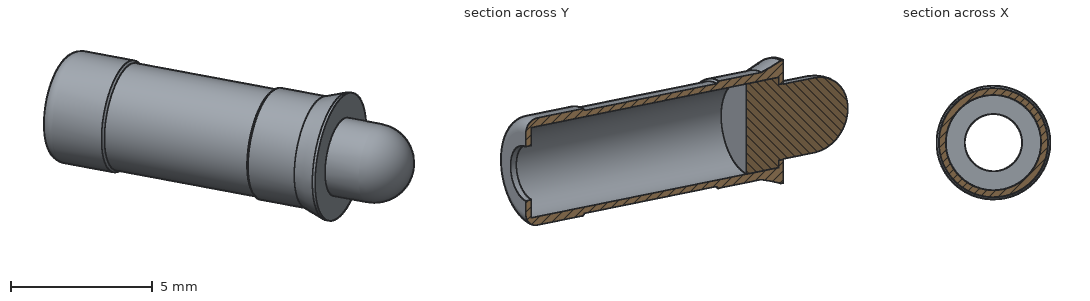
import cadquery as cq
import math

total_length = 13.4

plunger_radius = 1.41
dome_start = total_length - plunger_radius
head_radius = 1.68
head_length = 1.34

land_radius = 2.01
waist_radius = 1.93
step_length = land_radius - waist_radius
end_round = 0.5
rear_land_end = 2.39
front_land_start = 8.01
flare_start = 9.78
housing_length = 10.7
flare_diameter = 4.6
flare_radius = flare_diameter / 2
rim_width = 0.11

vent_radius = 1.0
end_wall = 0.24
mouth_wall = 0.2
bore_end = housing_length - mouth_wall
head_start = bore_end - head_length


def revolve_about_x(profile):
    return profile.close().revolve(360, (0, 0, 0), (1, 0, 0))


def make_housing():
    """Hollow turned sleeve with a vented rear wall and a flared front collar."""
    arc_offset = end_round * (1 - math.sqrt(0.5))
    profile = (
        cq.Workplane("XY")
        .moveTo(0, vent_radius)
        .lineTo(0, land_radius - end_round)
        .threePointArc((arc_offset, land_radius - arc_offset), (end_round, land_radius))
        .lineTo(rear_land_end, land_radius)
        .lineTo(rear_land_end + step_length, waist_radius)
        .lineTo(front_land_start - step_length, waist_radius)
        .lineTo(front_land_start, land_radius)
        .lineTo(flare_start, land_radius)
        .lineTo(housing_length - rim_width, flare_radius)
        .lineTo(housing_length, flare_radius)
        .lineTo(housing_length, plunger_radius)
        .lineTo(bore_end, plunger_radius)
        .lineTo(bore_end, head_radius)
        .lineTo(end_wall, head_radius)
        .lineTo(end_wall, vent_radius)
    )
    return revolve_about_x(profile)


def make_plunger():
    """Domed pin whose wider head is held behind the mouth of the housing."""
    dome_offset = plunger_radius * math.sqrt(0.5)
    profile = (
        cq.Workplane("XY")
        .moveTo(head_start, 0)
        .lineTo(head_start, head_radius)
        .lineTo(bore_end, head_radius)
        .lineTo(bore_end, plunger_radius)
        .lineTo(dome_start, plunger_radius)
        .threePointArc((dome_start + dome_offset, dome_offset), (total_length, 0))
    )
    return revolve_about_x(profile)


housing = make_housing()
plunger = make_plunger()

result = cq.Compound.makeCompound([housing.val(), plunger.val()])